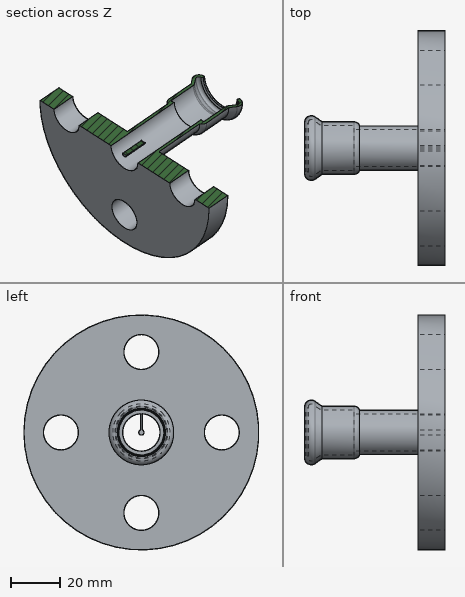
import cadquery as cq
import math

overall_length = 56.8
flange_thickness = 11.0
flange_radius = 95.0 / 2
flange_face_x = overall_length - flange_thickness

bolt_hole_diameter = 14.0
bolt_circle_radius = 65.0 / 2
bolt_hole_count = 4

tube_radius = 18.0 / 2
socket_radius = 21.3 / 2
bead_crest_radius = 13.1
bead_arc_radius = 2.77
bead_slope = math.radians(33)
bead_end_x = 7.1
shoulder_start_x = 20.0
shoulder_end_x = 22.3

bore_radius = 15.0 / 2
socket_bore_radius = 18.2 / 2
socket_depth = 20.0
lip_radius = 18.8 / 2
lip_chamfer = 0.35
lip_end_x = 1.1
groove_blend_end_x = 7.2
groove_blend_length = 0.85

marker_hub_radius = 2.2 / 2
marker_arm_width = 0.8

wall = socket_radius - socket_bore_radius
groove_arc_radius = bead_arc_radius - wall
bead_centre_x = bead_arc_radius
bead_centre_radius = bead_crest_radius - bead_arc_radius


def bead_arc_point(arc_radius, angle):
    """Point on an arc about the bead centre; the angle runs from the crest towards the flange."""
    return (
        bead_centre_x + arc_radius * math.sin(angle),
        bead_centre_radius + arc_radius * math.cos(angle),
    )


def shoulder_point(x):
    """Point on the arc that leaves the socket tangentially and drops to the tube."""
    drop = socket_radius - tube_radius
    run = shoulder_end_x - shoulder_start_x
    arc_radius = (run**2 + drop**2) / (2 * drop)
    arc_height = math.sqrt(arc_radius**2 - (x - shoulder_start_x) ** 2)
    return (x, socket_radius - arc_radius + arc_height)


def make_fitting():
    """Press socket, tube and drilled flange, revolved about the X axis."""
    mid_arc_angle = (bead_slope - math.pi / 2) / 2
    shoulder_mid_x = (shoulder_start_x + shoulder_end_x) / 2

    blend_start_x = groove_blend_end_x - groove_blend_length
    blend_arc_radius = groove_blend_length / math.sin(bead_slope)
    blend_start_radius = socket_bore_radius + blend_arc_radius * (1 - math.cos(bead_slope))

    profile = (
        cq.Workplane("XY")
        .moveTo(0, lip_radius + lip_chamfer)
        .lineTo(0, bead_centre_radius)
        .threePointArc(
            bead_arc_point(bead_arc_radius, mid_arc_angle),
            bead_arc_point(bead_arc_radius, bead_slope),
        )
        .lineTo(bead_end_x, socket_radius)
        .lineTo(shoulder_start_x, socket_radius)
        .threePointArc(shoulder_point(shoulder_mid_x), (shoulder_end_x, tube_radius))
        .lineTo(flange_face_x, tube_radius)
        .lineTo(flange_face_x, flange_radius)
        .lineTo(overall_length, flange_radius)
        .lineTo(overall_length, bore_radius)
        .lineTo(socket_depth, bore_radius)
        .lineTo(socket_depth, socket_bore_radius)
        .lineTo(groove_blend_end_x, socket_bore_radius)
        .tangentArcPoint((blend_start_x, blend_start_radius), relative=False)
        .lineTo(*bead_arc_point(groove_arc_radius, bead_slope))
        .threePointArc(
            bead_arc_point(groove_arc_radius, mid_arc_angle),
            bead_arc_point(groove_arc_radius, -math.pi / 2),
        )
        .lineTo(lip_end_x, lip_radius)
        .lineTo(lip_chamfer, lip_radius)
        .close()
    )
    body = profile.revolve(360, (0, 0, 0), (1, 0, 0))

    bolt_holes = (
        cq.Workplane("YZ", origin=(flange_face_x, 0, 0))
        .polarArray(bolt_circle_radius, 0, 360, bolt_hole_count)
        .circle(bolt_hole_diameter / 2)
        .extrude(flange_thickness)
    )
    return body.cut(bolt_holes)


def make_marker():
    """Round hub on the axis with one arm rising to the bore wall, as thick as the flange."""
    plane = cq.Workplane("YZ", origin=(flange_face_x, 0, 0))
    hub = plane.circle(marker_hub_radius).extrude(flange_thickness)
    arm = (
        plane.center(0, bore_radius / 2)
        .rect(marker_arm_width, bore_radius)
        .extrude(flange_thickness)
    )
    bore_space = plane.circle(bore_radius).extrude(flange_thickness)
    return hub.union(arm).intersect(bore_space)


fitting = make_fitting()
marker = make_marker()

result = cq.Compound.makeCompound([fitting.val(), marker.val()])